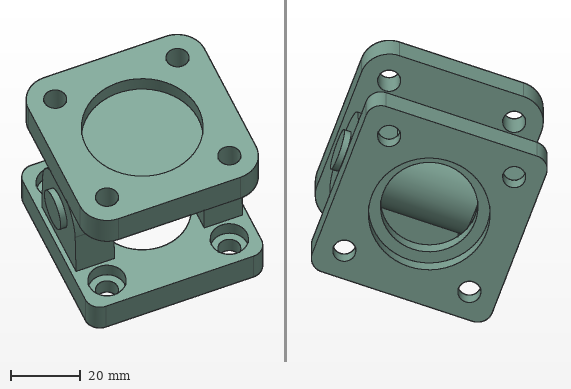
import cadquery as cq
import math

plate_side = 55.0
overall_height = 50.0
plate_thickness = 10.0
base_corner_radius = 4.5
flange_corner_radius = 8.5

pin_diameter = 12.0
pin_length = 56.0
eye_radius = 12.0
flank_taper = math.radians(2.5)
clevis_width = 52.0
tongue_width = 28.0

bolt_spacing = 38.2
bolt_hole_diameter = 6.6
counterbore_diameter = 11.0
counterbore_depth = 4.6
recess_diameter = 35.0
recess_depth = 5.0
base_bore_diameter = 28.0

half_height = overall_height / 2
plate_inner_face = half_height - plate_thickness
lug_thickness = (clevis_width - tongue_width) / 2
lug_offset = (tongue_width + lug_thickness) / 2


def plate(bottom_z, corner_radius):
    """Square plate with rounded vertical corners."""
    return (
        cq.Workplane("XY", origin=(0, 0, bottom_z))
        .rect(plate_side, plate_side)
        .extrude(plate_thickness)
        .edges("|Z")
        .fillet(corner_radius)
    )


def cylinder_up(bottom_z, diameter, height):
    """Vertical cylinder on the Z axis."""
    return cq.Workplane("XY", origin=(0, 0, bottom_z)).circle(diameter / 2).extrude(height)


def bolt_cylinders(bottom_z, diameter, height):
    """Vertical cylinders at the four bolt positions."""
    return (
        cq.Workplane("XY", origin=(0, 0, bottom_z))
        .rect(bolt_spacing, bolt_spacing, forConstruction=True)
        .vertices()
        .circle(diameter / 2)
        .extrude(height)
    )


def pivot_cylinder(length):
    """Cylinder of pin diameter centred on the pivot axis."""
    return cq.Workplane("XZ").circle(pin_diameter / 2).extrude(length / 2, both=True)


def eye(center_y, width, root_direction):
    """Round-ended eye whose tapered flanks are tangent to the round end.

    root_direction is -1 for an eye rooted on the base, +1 for one rooted on the flange.
    """
    tangent_x = eye_radius * math.cos(flank_taper)
    tangent_z = -root_direction * eye_radius * math.sin(flank_taper)
    root_z = root_direction * plate_inner_face
    root_x = tangent_x + abs(root_z - tangent_z) * math.tan(flank_taper)
    return (
        cq.Workplane("XZ", origin=(0, center_y, 0))
        .moveTo(-root_x, root_z)
        .lineTo(-tangent_x, tangent_z)
        .threePointArc((0, -root_direction * eye_radius), (tangent_x, tangent_z))
        .lineTo(root_x, root_z)
        .close()
        .extrude(width / 2, both=True)
    )


def make_clevis():
    """Base plate with two lugs and the fixed pivot pin."""
    body = plate(-half_height, base_corner_radius)

    body = body.cut(cylinder_up(-half_height, base_bore_diameter, plate_thickness))
    body = body.cut(cylinder_up(-half_height, recess_diameter, recess_depth))

    counterbore_floor = -plate_inner_face - counterbore_depth
    body = body.cut(bolt_cylinders(-half_height, bolt_hole_diameter, plate_thickness))
    body = body.cut(bolt_cylinders(counterbore_floor, counterbore_diameter, counterbore_depth))

    for side in (-1, 1):
        body = body.union(eye(side * lug_offset, lug_thickness, -1))
    return body.union(pivot_cylinder(pin_length))


def make_tongue():
    """Upper flange with a single tongue bored for the pivot pin."""
    body = plate(plate_inner_face, flange_corner_radius)
    body = body.union(eye(0, tongue_width, 1))
    body = body.cut(pivot_cylinder(tongue_width))
    body = body.cut(bolt_cylinders(plate_inner_face, bolt_hole_diameter, plate_thickness))
    return body.cut(cylinder_up(half_height - recess_depth, recess_diameter, recess_depth))


clevis = make_clevis()
tongue = make_tongue()

result = cq.Compound.makeCompound([clevis.solids().val(), tongue.solids().val()])